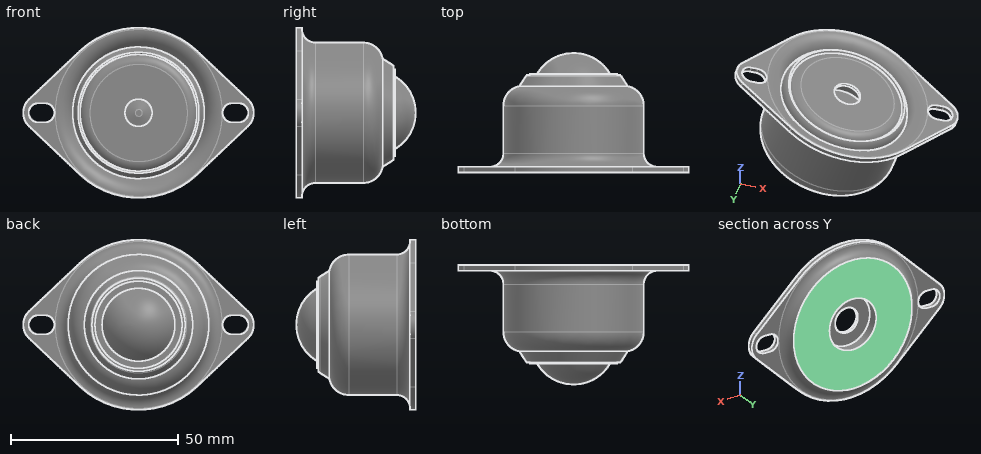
import cadquery as cq
import math


FLANGE_LENGTH = 69.0
FLANGE_RADIUS = 25.45
FLANGE_THICKNESS = 1.8
SLOT_OFFSET = 29.0
SLOT_LENGTH = 7.65
SLOT_WIDTH = 5.65
EAR_RADIUS = FLANGE_LENGTH / 2 - SLOT_OFFSET

CUP_RADIUS = 21.05
FLARE_RADIUS = 3.9
FLARE_INNER_RADIUS = FLARE_RADIUS + FLANGE_THICKNESS
FLARE_CENTER_R = CUP_RADIUS + FLARE_RADIUS
FLARE_CENTER_Y = FLANGE_THICKNESS + FLARE_RADIUS
FLARE_MID_ANGLE = 225
BORE_RADIUS = FLARE_CENTER_R - FLARE_INNER_RADIUS
SHOULDER_Y = 20.0
SHOULDER_RADIUS = 6.0

COLLAR_BASE_RADIUS = 16.2
COLLAR_RADIUS = 14.35
COLLAR_CONE_TOP = 28.8
COLLAR_TOP = 29.25
COLLAR_EDGE_INSET = 0.4
SEAL_RADIUS = 13.05
SEAL_TOP = 29.6

BALL_RADIUS = 12.7
BALL_TOP = 35.8
BALL_CENTER_Y = BALL_TOP - BALL_RADIUS

INSERT_RADIUS = 19.7
INSERT_ROUND = 4.0
COVER_FLAT_RADIUS = 14.55
COVER_RADIUS = 17.45
COVER_ROUND = 3.6
GROOVE_RADIUS = 18.1

HOLE_RADIUS = 4.1
HOLE_DEPTH = 1.0
CHAMBER_RADIUS = 8.3
CHAMBER_FLOOR_Y = 7.65
TIP_RADIUS = 1.05
TIP_HEIGHT = 1.5


def arc_point(center_r, center_y, radius, degrees):
    """Point on a profile arc, with its angle measured from the outward radial direction."""
    angle = math.radians(degrees)
    return center_r + radius * math.cos(angle), center_y + radius * math.sin(angle)


def revolve(profile):
    """Close a half profile that starts at the origin and turn it about the Y axis."""
    return profile.close().revolve(360, (0, 0, 0), (0, 1, 0))


def mounting_plane():
    """Sketch plane on the mounting face, facing +Y, with its local x along X."""
    return cq.Workplane(cq.Plane(origin=(0, 0, 0), xDir=(1, 0, 0), normal=(0, 1, 0)))


def make_flange():
    tangent_cos = (FLANGE_RADIUS - EAR_RADIUS) / SLOT_OFFSET
    tangent_sin = math.sqrt(1 - tangent_cos**2)
    middle_x, middle_z = FLANGE_RADIUS * tangent_cos, FLANGE_RADIUS * tangent_sin
    ear_x, ear_z = SLOT_OFFSET + EAR_RADIUS * tangent_cos, EAR_RADIUS * tangent_sin
    tip_x = FLANGE_LENGTH / 2
    flange = (
        mounting_plane()
        .moveTo(-middle_x, middle_z)
        .threePointArc((0, FLANGE_RADIUS), (middle_x, middle_z))
        .lineTo(ear_x, ear_z)
        .threePointArc((tip_x, 0), (ear_x, -ear_z))
        .lineTo(middle_x, -middle_z)
        .threePointArc((0, -FLANGE_RADIUS), (-middle_x, -middle_z))
        .lineTo(-ear_x, -ear_z)
        .threePointArc((-tip_x, 0), (-ear_x, ear_z))
        .close()
        .extrude(FLANGE_THICKNESS)
    )
    slots = (
        mounting_plane()
        .pushPoints([(-SLOT_OFFSET, 0), (SLOT_OFFSET, 0)])
        .slot2D(SLOT_LENGTH, SLOT_WIDTH)
        .extrude(FLANGE_THICKNESS)
    )
    return flange.cut(slots)


def make_cup():
    """Solid outside shape: flare, cylinder, rounded shoulder, collar, seal and ball cap."""
    seal_angle = math.degrees(math.asin((SEAL_TOP - BALL_CENTER_Y) / BALL_RADIUS))
    ball = (0, BALL_CENTER_Y, BALL_RADIUS)
    shoulder_center_r = CUP_RADIUS - SHOULDER_RADIUS
    shoulder_end_angle = math.degrees(math.acos((COLLAR_BASE_RADIUS - shoulder_center_r) / SHOULDER_RADIUS))
    shoulder = (shoulder_center_r, SHOULDER_Y, SHOULDER_RADIUS)
    return revolve(
        cq.Workplane("XY")
        .lineTo(FLARE_CENTER_R, 0)
        .lineTo(FLARE_CENTER_R, FLANGE_THICKNESS)
        .threePointArc(
            arc_point(FLARE_CENTER_R, FLARE_CENTER_Y, FLARE_RADIUS, FLARE_MID_ANGLE),
            (CUP_RADIUS, FLARE_CENTER_Y),
        )
        .lineTo(CUP_RADIUS, SHOULDER_Y)
        .threePointArc(
            arc_point(*shoulder, shoulder_end_angle / 2),
            arc_point(*shoulder, shoulder_end_angle),
        )
        .lineTo(COLLAR_RADIUS, COLLAR_CONE_TOP)
        .lineTo(COLLAR_RADIUS - COLLAR_EDGE_INSET, COLLAR_TOP)
        .lineTo(SEAL_RADIUS, COLLAR_TOP)
        .lineTo(SEAL_RADIUS, SEAL_TOP)
        .lineTo(*arc_point(*ball, seal_angle))
        .threePointArc(arc_point(*ball, (seal_angle + 90) / 2), (0, BALL_TOP))
    )


def make_mouth():
    """Flared opening of the cup, concentric with the flare on its outside."""
    return revolve(
        cq.Workplane("XY")
        .lineTo(FLARE_CENTER_R, 0)
        .threePointArc(
            arc_point(FLARE_CENTER_R, FLARE_CENTER_Y, FLARE_INNER_RADIUS, FLARE_MID_ANGLE),
            (BORE_RADIUS, FLARE_CENTER_Y),
        )
        .lineTo(0, FLARE_CENTER_Y)
    )


def make_insert():
    """Rounded disc with a V-shaped groove that sets off a rounded cover in its middle."""
    cover_angle = -math.degrees(math.acos((COVER_RADIUS - COVER_FLAT_RADIUS) / COVER_ROUND))
    cover_round = (COVER_FLAT_RADIUS, COVER_ROUND, COVER_ROUND)
    round_center_r = INSERT_RADIUS - INSERT_ROUND
    lip_angle = -math.degrees(math.acos((GROOVE_RADIUS - round_center_r) / INSERT_ROUND))
    insert_round = (round_center_r, INSERT_ROUND, INSERT_ROUND)
    return revolve(
        cq.Workplane("XY")
        .lineTo(COVER_FLAT_RADIUS, 0)
        .threePointArc(
            arc_point(*cover_round, (cover_angle - 90) / 2),
            arc_point(*cover_round, cover_angle),
        )
        .lineTo(*arc_point(*insert_round, lip_angle))
        .threePointArc(arc_point(*insert_round, lip_angle / 2), (INSERT_RADIUS, INSERT_ROUND))
        .lineTo(INSERT_RADIUS, FLARE_CENTER_Y)
        .lineTo(0, FLARE_CENTER_Y)
    )


def make_hole():
    """Space left by the central hole and the chamber behind it."""
    return revolve(
        cq.Workplane("XY")
        .lineTo(HOLE_RADIUS, 0)
        .lineTo(HOLE_RADIUS, HOLE_DEPTH)
        .lineTo(CHAMBER_RADIUS, HOLE_DEPTH)
        .lineTo(CHAMBER_RADIUS, CHAMBER_FLOOR_Y)
        .lineTo(TIP_RADIUS, CHAMBER_FLOOR_Y - TIP_HEIGHT)
        .lineTo(0, CHAMBER_FLOOR_Y - TIP_HEIGHT)
    )


result = (
    make_flange()
    .union(make_cup())
    .cut(make_mouth())
    .union(make_insert())
    .cut(make_hole())
)